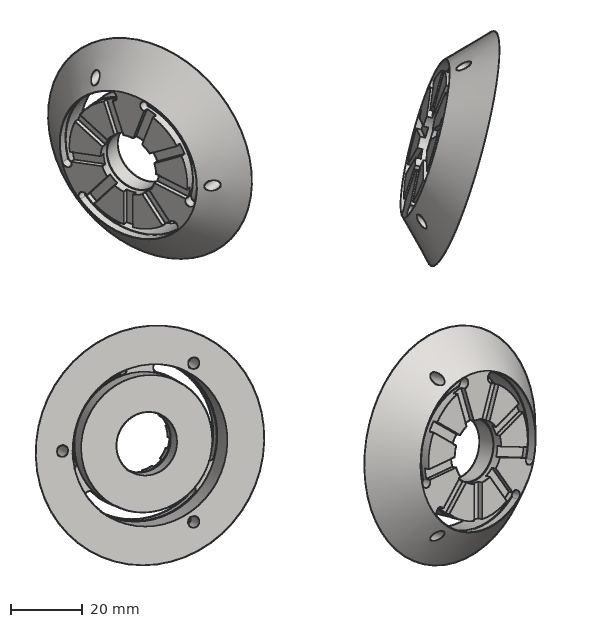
import cadquery as cq
import math

rear_radius = 34.0
thickness = 11.1
front_radius = rear_radius - thickness

bore_radius = 9.0
bore_entry_radius = 9.2

plate_thickness = 3.0
hub_depth = 8.5
hub_radius = 19.5
cavity_radius = 23.0

groove_count = 9
groove_width = 3.1
groove_depth = 1.5
first_groove_angle = -90.0

slot_count = 3
slot_mid_radius = 21.2
slot_width = 3.1
slot_half_sweep = 45.0
first_slot_angle = -90.0

hole_count = 3
hole_circle_radius = 26.0
hole_diameter = 3.3

front_y = -thickness / 2
rear_y = thickness / 2


def polar(radius, angle):
    """Point in the XZ plane at an angle in degrees from +X towards +Z."""
    turn = math.radians(angle)
    return (radius * math.cos(turn), radius * math.sin(turn))


def front_plane():
    """XZ plane on the front face; positive extrusion runs towards -Y."""
    return cq.Workplane("XZ", origin=(0, front_y, 0))


def make_body():
    """Cone frustum with a rear cavity that leaves a front plate and a central hub."""
    plate_y = front_y + plate_thickness
    hub_y = front_y + hub_depth
    return (
        cq.Workplane("ZY")
        .moveTo(bore_entry_radius, front_y)
        .lineTo(front_radius, front_y)
        .lineTo(rear_radius, rear_y)
        .lineTo(cavity_radius, rear_y)
        .lineTo(cavity_radius, plate_y)
        .lineTo(hub_radius, plate_y)
        .lineTo(hub_radius, hub_y)
        .lineTo(bore_radius, hub_y)
        .lineTo(bore_radius, plate_y)
        .lineTo(bore_entry_radius, plate_y)
        .close()
        .revolve(360, (0, 0, 0), (0, 1, 0))
    )


def make_groove(angle):
    """Radial channel from the bore to the slot circle."""
    return (
        front_plane()
        .center(slot_mid_radius / 2, 0)
        .rect(slot_mid_radius, groove_width)
        .extrude(-groove_depth)
        .rotate((0, 0, 0), (0, 1, 0), -angle)
    )


def make_slot(middle_angle):
    """Round-ended arc slot through the front plate."""
    start = middle_angle - slot_half_sweep
    end = middle_angle + slot_half_sweep
    inner = slot_mid_radius - slot_width / 2
    outer = slot_mid_radius + slot_width / 2
    end_turn = math.degrees(slot_width / 2 / slot_mid_radius)
    return (
        front_plane()
        .moveTo(*polar(inner, start))
        .threePointArc(polar(inner, middle_angle), polar(inner, end))
        .threePointArc(polar(slot_mid_radius, end + end_turn), polar(outer, end))
        .threePointArc(polar(outer, middle_angle), polar(outer, start))
        .threePointArc(polar(slot_mid_radius, start - end_turn), polar(inner, start))
        .close()
        .extrude(-plate_thickness)
    )


def make_holes():
    """Screw holes parallel to the Y axis."""
    return (
        front_plane()
        .polarArray(hole_circle_radius, 0, 360, hole_count)
        .circle(hole_diameter / 2)
        .extrude(-thickness)
    )


result = make_body()
for index in range(groove_count):
    result = result.cut(make_groove(first_groove_angle + index * 360 / groove_count))
for index in range(slot_count):
    result = result.cut(make_slot(first_slot_angle + index * 360 / slot_count))
result = result.cut(make_holes())